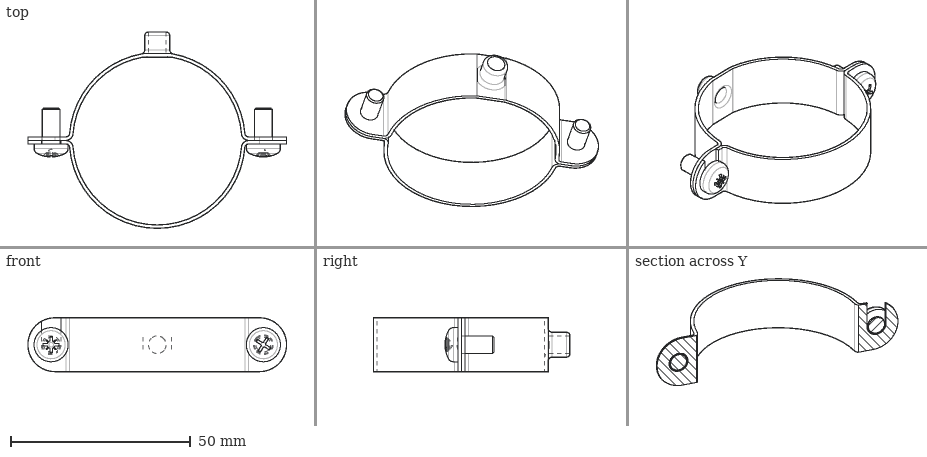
import cadquery as cq
import math


thickness = 1.0
strip_width = 15.05
ring_outer_radius = 24.5
ring_inner_radius = ring_outer_radius - thickness

overall_length = 72.0
ear_tip_x = overall_length / 2
bend_inner_radius = thickness
bend_outer_radius = bend_inner_radius + thickness
bend_y = thickness + bend_inner_radius
bend_x = math.sqrt((ring_outer_radius + bend_inner_radius) ** 2 - bend_y**2)

boss_top_y = 30.2
boss_diameter = 7.0
boss_hole_diameter = 4.9
boss_round = 1.0
boss_flare = 1.1
arc_mid_ratio = math.sqrt(0.5)
pad_half_width = 4.1
pad_outer_y = math.sqrt(ring_outer_radius**2 - pad_half_width**2)
pad_inner_y = pad_outer_y - thickness
pad_bend_angle = math.asin(pad_half_width / ring_outer_radius)
pad_flat_half_width = pad_half_width - bend_outer_radius * math.tan(pad_bend_angle / 2)
pad_inner_half_width = math.sqrt(ring_inner_radius**2 - pad_inner_y**2)

screw_x = 29.5
screw_diameter = 5.0
screw_length = 10.0
tip_diameter = 4.1
head_diameter = 9.5
head_height = 3.6
head_dome_radius = 8.35
head_edge_round = 1.6
clearance_diameter = 5.5

recess_mouth_diameter = 5.1
recess_depth = 1.9
recess_floor_diameter = 1.3
recess_point_depth = 0.35
wing_width = 0.7
tick_span = 3.6
tick_width = 0.2
tick_core_diameter = 2.15
tick_depth = 1.15
right_screw_turn = 32.0


def polar(radius, angle, centre=(0.0, 0.0)):
    """Point at a radius and an angle in radians about a centre."""
    return (centre[0] + radius * math.cos(angle), centre[1] + radius * math.sin(angle))


def half_strip():
    """Half clamp above Y = 0: a half ring with an outward ear on each side."""
    right_bend = (bend_x, bend_y)
    left_bend = (-bend_x, bend_y)
    ring_start = math.atan2(bend_y, bend_x)
    right_mid = (3 * math.pi / 2 + math.pi + ring_start) / 2
    left_mid = math.pi - right_mid

    profile = (
        cq.Workplane("XY")
        .moveTo(ear_tip_x, 0)
        .lineTo(ear_tip_x, thickness)
        .lineTo(bend_x, thickness)
        .threePointArc(polar(bend_inner_radius, right_mid, right_bend), polar(ring_outer_radius, ring_start))
        .threePointArc((0, ring_outer_radius), polar(ring_outer_radius, math.pi - ring_start))
        .threePointArc(polar(bend_inner_radius, left_mid, left_bend), (-bend_x, thickness))
        .lineTo(-ear_tip_x, thickness)
        .lineTo(-ear_tip_x, 0)
        .lineTo(-bend_x, 0)
        .threePointArc(
            polar(bend_outer_radius, left_mid, left_bend), polar(ring_inner_radius, math.pi - ring_start)
        )
        .threePointArc((0, ring_inner_radius), polar(ring_inner_radius, ring_start))
        .threePointArc(polar(bend_outer_radius, right_mid, right_bend), (bend_x, 0))
        .close()
    )
    strip = profile.extrude(strip_width / 2, both=True)
    return strip.intersect(ear_outline())


def ear_outline():
    """Block that is stadium-shaped along Y and rounds the ends of the ears."""
    block_depth = 2 * ring_outer_radius
    return cq.Workplane("XZ").slot2D(overall_length, strip_width).extrude(block_depth, both=True)


def y_cylinder(diameter, start_y, end_y, x=0.0):
    """Cylinder along +Y."""
    return cq.Workplane("XZ", origin=(x, start_y, 0)).circle(diameter / 2).extrude(start_y - end_y)


def ear_hole(diameter, x):
    """Cutter for a round hole through both ears on one side."""
    return y_cylinder(diameter, -bend_y, bend_y, x)


def head_seat(x):
    """Cutter that relieves the lower bend where the rim of a screw head reaches into it."""
    return y_cylinder(head_diameter, -thickness - head_height, -thickness, x)


def crown_pad():
    """Flat stretch of strip at the crown, on a chord of the ring."""
    return (
        cq.Workplane("XY")
        .moveTo(-pad_half_width, pad_outer_y)
        .lineTo(pad_half_width, pad_outer_y)
        .lineTo(pad_inner_half_width, pad_inner_y)
        .lineTo(-pad_inner_half_width, pad_inner_y)
        .close()
        .extrude(strip_width / 2, both=True)
    )


def crown_gap():
    """Cutter for the curved strip that the flat pad replaces."""
    reach = 2 * (ring_outer_radius - pad_inner_y)
    side = reach / thickness * (pad_half_width - pad_inner_half_width)
    return (
        cq.Workplane("XY")
        .moveTo(-pad_inner_half_width, pad_inner_y)
        .lineTo(-pad_inner_half_width - side, pad_inner_y + reach)
        .lineTo(pad_inner_half_width + side, pad_inner_y + reach)
        .lineTo(pad_inner_half_width, pad_inner_y)
        .threePointArc((0, ring_inner_radius - thickness), (-pad_inner_half_width, pad_inner_y))
        .close()
        .extrude(strip_width, both=True)
    )


def round_pad_bends(half):
    """Give the two bends beside the pad the same radii as the bends at the ears."""
    pad_corners = (
        (pad_half_width, pad_outer_y, bend_outer_radius),
        (pad_inner_half_width, pad_inner_y, bend_inner_radius),
    )
    for x, y, radius in pad_corners:
        for side in (-1, 1):
            corner = cq.selectors.NearestToPointSelector((side * x, y, 0))
            half = half.edges("|Z").edges(corner).fillet(radius)
    return half


def boss():
    """Boss along +Y with a rounded rim and a flared root that stops at the edges of the flat pad."""
    radius = boss_diameter / 2
    slant = boss_round * arc_mid_ratio
    flare_slant = boss_flare * arc_mid_ratio
    profile = (
        cq.Workplane("XY")
        .moveTo(0, pad_inner_y)
        .lineTo(radius + boss_flare, pad_inner_y)
        .lineTo(radius + boss_flare, pad_outer_y)
        .threePointArc(
            (radius + boss_flare - flare_slant, pad_outer_y + boss_flare - flare_slant),
            (radius, pad_outer_y + boss_flare),
        )
        .lineTo(radius, boss_top_y - boss_round)
        .threePointArc(
            (radius - boss_round + slant, boss_top_y - boss_round + slant),
            (radius - boss_round, boss_top_y),
        )
        .lineTo(0, boss_top_y)
        .close()
    )
    solid = profile.revolve(360, (0, 0, 0), (0, 1, 0))
    pad_limits = (
        cq.Workplane("XY")
        .rect(2 * pad_flat_half_width, 2 * boss_top_y)
        .extrude(strip_width, both=True)
    )
    return solid.intersect(pad_limits)


def boss_hole():
    """Cutter for the hole through the boss, with a rounded mouth inside the ring."""
    radius = boss_hole_diameter / 2
    slant = boss_round * arc_mid_ratio
    return (
        cq.Workplane("XY")
        .moveTo(0, pad_inner_y)
        .lineTo(radius + boss_round, pad_inner_y)
        .threePointArc(
            (radius + boss_round - slant, pad_inner_y + boss_round - slant),
            (radius, pad_inner_y + boss_round),
        )
        .lineTo(radius, boss_top_y)
        .lineTo(0, boss_top_y)
        .close()
        .revolve(360, (0, 0, 0), (0, 1, 0))
    )


def make_upper_half():
    """Upper clamp half with the boss and a hole in each ear that fits the screw."""
    half = half_strip().cut(crown_gap()).union(crown_pad())
    half = round_pad_bends(half).union(boss()).cut(boss_hole())
    for x in (-screw_x, screw_x):
        half = half.cut(ear_hole(screw_diameter, x))
    return half


def make_lower_half():
    """Lower clamp half with a clearance hole on the right, an open-topped slot on the left,
    and a seat for each screw head."""
    half = half_strip().mirror("XZ")
    for x in (-screw_x, screw_x):
        half = half.cut(ear_hole(clearance_diameter, x)).cut(head_seat(x))
    slot = (
        cq.Workplane("XY")
        .box(clearance_diameter, 2 * bend_y, strip_width, centered=(True, True, False))
        .translate((-screw_x, 0, 0))
    )
    return half.cut(slot)


def cross_recess(has_ticks):
    """Cutter for the tapered cross recess; ticks add thin diagonal grooves and a wider core."""
    cone = (
        cq.Workplane("XY")
        .moveTo(0, -head_height)
        .lineTo(recess_mouth_diameter / 2, -head_height)
        .lineTo(recess_floor_diameter / 2, recess_depth - head_height)
        .lineTo(0, recess_depth - head_height + recess_point_depth)
        .close()
        .revolve(360, (0, 0, 0), (0, 1, 0))
    )
    wings = cq.Workplane("XY").box(recess_mouth_diameter, 2 * head_height, wing_width)
    core_diameter = tick_core_diameter if has_ticks else recess_floor_diameter
    core = y_cylinder(core_diameter, -head_height, 0)
    cross = wings.union(wings.rotate((0, 0, 0), (0, 1, 0), 90)).union(core)
    recess = cone.intersect(cross)
    if has_ticks:
        tick = cq.Workplane("XY").box(tick_span, 2 * tick_depth, tick_width).translate((0, -head_height, 0))
        for angle in (45, 135):
            recess = recess.union(tick.rotate((0, 0, 0), (0, 1, 0), angle))
    return recess


def screw_head_blank():
    """Pan head below Y = 0: a short cylinder, a rounded edge and a domed end, all tangent."""
    radius = head_diameter / 2
    dome_centre = (0, head_dome_radius - head_height)
    round_x = radius - head_edge_round
    round_y = dome_centre[1] - math.sqrt((head_dome_radius - head_edge_round) ** 2 - round_x**2)
    dome_start = math.atan2(round_y - dome_centre[1], round_x)
    return (
        cq.Workplane("XY")
        .lineTo(radius, 0)
        .lineTo(radius, round_y)
        .threePointArc(
            polar(head_edge_round, dome_start / 2, (round_x, round_y)),
            polar(head_dome_radius, dome_start, dome_centre),
        )
        .threePointArc(
            polar(head_dome_radius, (dome_start - math.pi / 2) / 2, dome_centre),
            (0, -head_height),
        )
        .close()
        .revolve(360, (0, 0, 0), (0, 1, 0))
    )


def make_screw(x, turn, has_ticks):
    """Pan-head screw along +Y, its head seated on the outer face of the lower ear."""
    tip_chamfer = (screw_diameter - tip_diameter) / 2
    shank = y_cylinder(screw_diameter, 0, screw_length).faces(">Y").chamfer(tip_chamfer)
    head = screw_head_blank().cut(cross_recess(has_ticks))
    screw = head.union(shank)
    return screw.rotate((0, 0, 0), (0, 1, 0), turn).translate((x, -thickness, 0))


upper_half = make_upper_half()
lower_half = make_lower_half()
screw_places = ((-screw_x, 0, True), (screw_x, right_screw_turn, False))
screws = [make_screw(x, turn, has_ticks) for x, turn, has_ticks in screw_places]

result = cq.Compound.makeCompound(
    [upper_half.val(), lower_half.val(), *[screw.val() for screw in screws]]
)